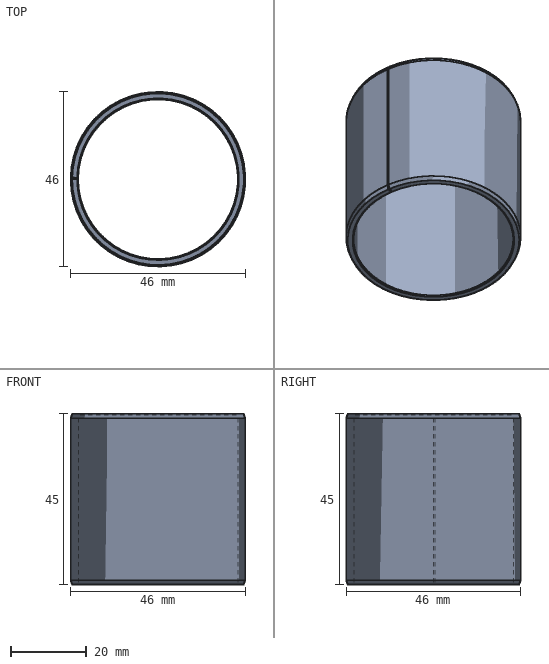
import cadquery as cq
import math

outer_diameter = 46.0
wall = 2.0
length = 45.0

outer_chamfer_length = 1.2
outer_chamfer_angle = 20.0

bore_chamfer = 0.3

gap_angle = 1.0

outer_radius = outer_diameter / 2
bore_radius = outer_radius - wall
half_length = length / 2
outer_chamfer_depth = outer_chamfer_length * math.tan(math.radians(outer_chamfer_angle))


def make_split_sleeve():
    """Revolve the wall section about Z from the -X side, stopping short to leave the gap."""
    end_outer_radius = outer_radius - outer_chamfer_depth
    end_bore_radius = bore_radius + bore_chamfer
    outer_shoulder = half_length - outer_chamfer_length
    bore_shoulder = half_length - bore_chamfer
    section = [
        (-bore_radius, -bore_shoulder),
        (-end_bore_radius, -half_length),
        (-end_outer_radius, -half_length),
        (-outer_radius, -outer_shoulder),
        (-outer_radius, outer_shoulder),
        (-end_outer_radius, half_length),
        (-end_bore_radius, half_length),
        (-bore_radius, bore_shoulder),
    ]
    axis_start = (0, 0, 0)
    axis_end = (0, 1, 0)
    sweep_angle = 360 - gap_angle
    return cq.Workplane("XZ").polyline(section).close().revolve(sweep_angle, axis_start, axis_end)


result = make_split_sleeve()